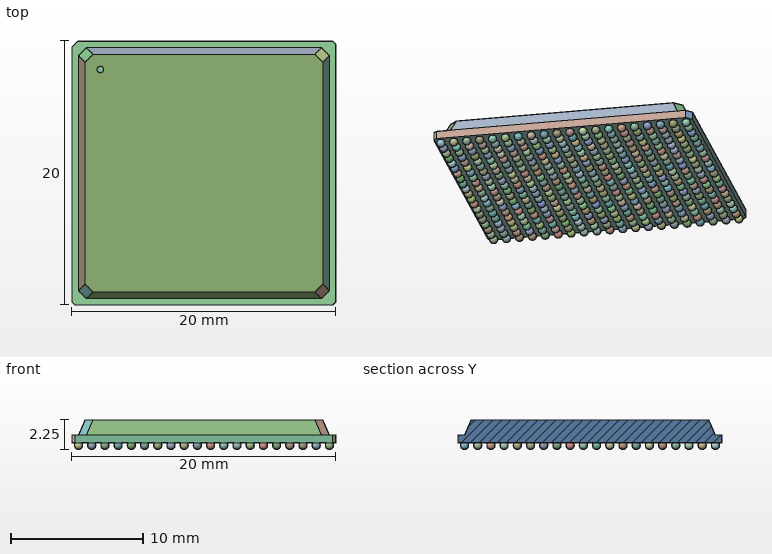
import cadquery as cq

body_size = 20.0
total_height = 2.25

plate_thickness = 0.6
plate_chamfer = 0.25
pin_one_chamfer = 0.45

ball_pitch = 1.0
balls_per_side = 20
ball_diameter = 0.63
ball_standoff = 0.5

cap_base_size = 19.0
cap_top_size = 18.0
cap_chamfer = 0.6

mark_diameter = 0.5
mark_inset = 2.15
mark_depth = 0.1

plate_bottom = ball_standoff
plate_top = plate_bottom + plate_thickness
cap_height = total_height - plate_top


def chamfered_square(size, chamfer):
    """Corner points of a square with all four corners cut at 45 degrees."""
    half = size / 2
    short = half - chamfer
    return [
        (-short, -half),
        (short, -half),
        (half, -short),
        (half, short),
        (short, half),
        (-short, half),
        (-half, short),
        (-half, -short),
    ]


def make_plate():
    """Substrate: a chamfered square whose -X +Y corner is cut back further."""
    plate = cq.Workplane("XY", origin=(0, 0, plate_bottom))
    plate = plate.rect(body_size, body_size).extrude(plate_thickness)
    pin_one_edge = plate.edges("|Z and <X and >Y")
    plate = pin_one_edge.chamfer(pin_one_chamfer)
    plain_corners = plate.edges("|Z and (>X or <Y)")
    return plain_corners.chamfer(plate_chamfer)


def make_cap():
    """Tapered mould cap; its corner chamfers keep the same size up the slope."""
    cap = cq.Workplane("XY", origin=(0, 0, plate_top))
    cap = cap.polyline(chamfered_square(cap_base_size, cap_chamfer)).close()
    cap = cap.workplane(offset=cap_height)
    cap = cap.polyline(chamfered_square(cap_top_size, cap_chamfer)).close()
    return cap.loft(ruled=True)


def make_mark():
    """Cutter for the pin 1 mark near the -X +Y corner."""
    offset = body_size / 2 - mark_inset
    mark = cq.Workplane("XY", origin=(-offset, offset, total_height))
    return mark.circle(mark_diameter / 2).extrude(-mark_depth)


def make_balls():
    """Full square grid of solder balls, each a sphere truncated at the substrate."""
    radius = ball_diameter / 2
    trim = cq.Workplane("XY").rect(ball_diameter, ball_diameter).extrude(ball_standoff)
    ball = cq.Workplane("XY", origin=(0, 0, radius)).sphere(radius).intersect(trim).val()
    grid = cq.Workplane("XY").rarray(ball_pitch, ball_pitch, balls_per_side, balls_per_side)
    return grid.eachpoint(lambda place: ball.located(place))


package = make_plate().union(make_cap()).cut(make_mark())
result = cq.Workplane("XY").newObject([package.val().fuse(*make_balls().vals())])